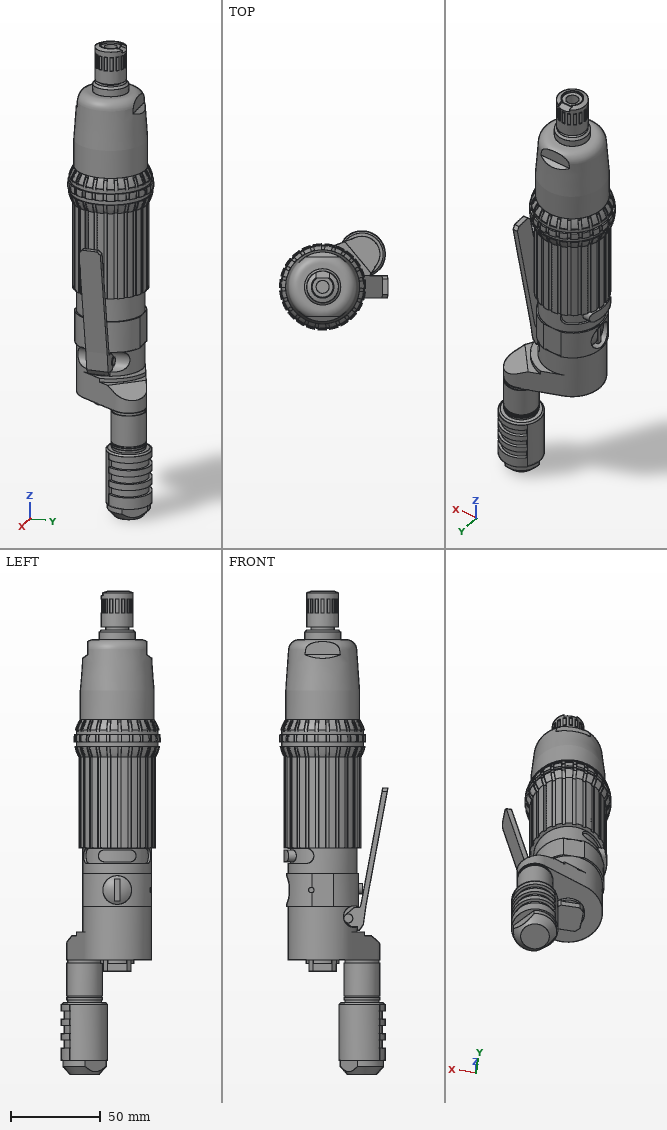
import cadquery as cq
import math


top_z = 269.2
connector_bottom_z = 249.1
collar_top_z = 247.6
shoulder_top_z = 242.2
shoulder_edge_z = 236.7
taper_bottom_z = 213.8
bulge_top_z = 197.6
grip_top_z = 176.9
grip_bottom_z = 126.2
ring_top_z = 112.0
ring_bottom_z = 93.6
arm_lip_z = 79.5
arm_top_z = 77.4
housing_bottom_z = 63.9
head_top_z = 40.1
bulge_mid_z = (bulge_top_z + grip_top_z) / 2

connector_radius = 8.9
connector_rim_radius = 6.3
connector_rim_drop = 1.0
neck_radius = 6.5
collar_radius = 10.1
collar_chamfer = 1.3
dome_flat_radius = 12.65
shoulder_radius = 19.0
cap_radius = 20.6
bulge_radius = 24.0
grip_radius = 21.4
housing_radius = 19.2
ring_radius = 20.1

socket_radius = 5.8
socket_depth = 1.0
bore_radius = 3.6
bore_depth = 10.0
knurl_count = 16
knurl_width = math.pi * connector_radius / knurl_count
knurl_depth = 0.5
knurl_bottom_z = 256.9
knurl_top_z = 264.9
key_notch_width = 7.4
key_notch_inner_y = 5.0
key_notch_depth = 1.5
key_notch_drop = 3.0

shoulder_flat_y = 16.5
shoulder_flat_bottom_z = 233.8
shoulder_flat_runout = 4.0
shoulder_flat_slope_drop = 2.9

groove_count = 23
groove_start_angle = 183.3
groove_width = 1.9
groove_depth = 0.7
band_groove_offset = 3.3
band_groove_width = 2.6
band_groove_depth = 0.6

exhaust_mid_z = 121.8
exhaust_height = 8.4
exhaust_depth = 1.2
exhaust_end_x = -4.9
exhaust_slider_length = 21.0
exhaust_slider_height = 6.6
exhaust_slider_radius = 21.6

ring_flat_y = housing_radius
ring_mid_z = (ring_top_z + ring_bottom_z) / 2
dial_radius = 8.0
dial_pocket_floor_x = -15.4
dial_dome_tip_x = -18.4
dial_bar_width = 2.9
dial_bar_length = 12.2
dial_bar_tip_x = -18.6
set_screw_x = -6.3
set_screw_radius = 1.5
set_screw_depth = 1.0

button_radius = 2.9
button_tip_x = 22.2
button_z = 103.6

output_angle = 39.7
output_offset = 28.45
arm_end_radius = 10.0
arm_lip_radius = 23.4
arm_slope_start = 25.6
arm_slope_angle = 25.0
shank_radius = 10.0
shank_band_radius = 9.5
shank_relief_height = 1.6
shank_band_height = 1.6
shank_groove_z = 42.9
shank_groove_width = 0.9
head_radius = 12.8
head_pad_radius = 13.05
head_pad_angle = 50.0
head_chamfer = 1.0
head_bottom_z = 8.0
nose_radius = 12.1
nose_cone_top_z = 4.6
nose_tip_radius = 8.0
nose_flat_distance = 9.5
head_groove_count = 3
head_groove_pitch = 8.1
head_groove_width = 4.4
head_groove_depth = 1.7
head_groove_first_z = 17.0

plug_flange_radius = 9.2
plug_flange_height = 2.0
plug_width = 15.4
plug_corner_chamfer = 2.35
plug_bottom_z = 57.5

lever_width = 12.6
lever_thickness_x = 3.0
lever_tip_x = 36.39
lever_tip_z = 159.6
lever_tip_corner = 2.0
lever_root_outer_x = 24.3
lever_root_top_z = 94.8
lever_ear_shoulder_x = 20.6
lever_ear_top_z = 93.1
lever_ear_bottom_z = 82.5
lever_heel_inner_x = 19.3
lever_heel_outer_x = 20.4
lever_heel_z = 80.3
lever_back_x = 22.7
lever_back_z = 83.5
pivot_x = 14.3
pivot_z = 87.0
pivot_radius = 2.5
pivot_head_height = 0.5
pin_radius = 1.5
web_width = 6.0
web_tip_x = 20.2
pocket_x = 17.6
pocket_z = 88.0
pocket_radius = 6.0

through = 4 * bulge_radius
clearance = 1.0

output_x = output_offset * math.cos(math.radians(output_angle))
output_y = output_offset * math.sin(math.radians(output_angle))


def disc(radius, bottom_z, top):
    """Upright cylinder between two levels."""
    return cq.Workplane("XY", origin=(0, 0, bottom_z)).circle(radius).extrude(top - bottom_z)


def tube(outer, inner, bottom_z, top):
    """Upright ring between two levels."""
    ring = cq.Workplane("XY", origin=(0, 0, bottom_z)).circle(outer).circle(inner)
    return ring.extrude(top - bottom_z)


def cylinder_along_y(radius, x, z, length):
    """Cylinder parallel to Y, centred on the XZ plane."""
    return cq.Workplane("XZ", origin=(x, length / 2, z)).circle(radius).extrude(length)


def output_plane(z):
    """Horizontal workplane whose local X points from the main axis to the output axis."""
    return cq.Workplane("XY", origin=(0, 0, z)).transformed(rotate=(0, 0, output_angle))


def turned_body():
    """Everything coaxial with the main axis, revolved from one half outline."""
    fillet_bow = 1 - math.sqrt(0.5)
    dome_mid_r = shoulder_radius - (shoulder_radius - dome_flat_radius) * fillet_bow
    dome_mid_z = shoulder_top_z - (shoulder_top_z - shoulder_edge_z) * fillet_bow
    profile = (
        cq.Workplane("XZ")
        .moveTo(0, top_z)
        .lineTo(connector_rim_radius, top_z)
        .lineTo(connector_radius, top_z - connector_rim_drop)
        .lineTo(connector_radius, connector_bottom_z)
        .lineTo(neck_radius, connector_bottom_z)
        .lineTo(neck_radius, collar_top_z)
        .lineTo(collar_radius - collar_chamfer, collar_top_z)
        .lineTo(collar_radius, collar_top_z - collar_chamfer)
        .lineTo(collar_radius, shoulder_top_z)
        .lineTo(dome_flat_radius, shoulder_top_z)
        .threePointArc((dome_mid_r, dome_mid_z), (shoulder_radius, shoulder_edge_z))
        .lineTo(cap_radius, taper_bottom_z)
        .lineTo(cap_radius, bulge_top_z)
        .threePointArc((bulge_radius, bulge_mid_z), (grip_radius, grip_top_z))
        .lineTo(grip_radius, grip_bottom_z)
        .lineTo(housing_radius, grip_bottom_z)
        .lineTo(housing_radius, ring_top_z)
        .lineTo(ring_radius, ring_top_z)
        .lineTo(ring_radius, ring_bottom_z)
        .lineTo(housing_radius, ring_bottom_z)
        .lineTo(housing_radius, housing_bottom_z)
        .lineTo(0, housing_bottom_z)
        .close()
    )
    return profile.revolve(360, (0, 0, 0), (0, 1, 0))


def cut_connector(body):
    """Air socket, knurled band and key notch of the hose connector."""
    body = body.cut(disc(socket_radius, top_z - socket_depth, top_z))
    body = body.cut(disc(bore_radius, top_z - bore_depth, top_z))
    knurl = (
        cq.Workplane("XY", origin=(0, 0, knurl_bottom_z))
        .polarArray(connector_radius, 0, 360, knurl_count)
        .rect(2 * knurl_depth, knurl_width)
        .extrude(knurl_top_z - knurl_bottom_z)
    )
    body = body.cut(knurl)
    notch = (
        cq.Workplane("YZ", origin=(-key_notch_width / 2, 0, 0))
        .moveTo(key_notch_inner_y, top_z)
        .lineTo(key_notch_inner_y, top_z - key_notch_depth)
        .lineTo(collar_radius, top_z - key_notch_drop)
        .lineTo(collar_radius, top_z)
        .close()
        .extrude(key_notch_width)
    )
    return body.cut(notch)


def cut_shoulder_flats(body):
    """Two opposite spanner flats on the domed shoulder, with sloping floors."""
    outer_y = shoulder_flat_y + shoulder_flat_runout
    flat = (
        cq.Workplane("YZ", origin=(-through / 2, 0, 0))
        .moveTo(shoulder_flat_y, shoulder_top_z)
        .lineTo(shoulder_flat_y, shoulder_flat_bottom_z)
        .lineTo(outer_y, shoulder_flat_bottom_z - shoulder_flat_slope_drop)
        .lineTo(outer_y, shoulder_top_z)
        .close()
        .extrude(through)
    )
    return body.cut(flat).cut(flat.mirror("XZ"))


def cut_grip_grooves(body):
    """Lengthwise grooves along grip and bulge, and two bands round the bulge."""
    grip_grooves = (
        cq.Workplane("XY", origin=(0, 0, grip_bottom_z))
        .polarArray(grip_radius, groove_start_angle, 360, groove_count)
        .rect(2 * groove_depth, groove_width)
        .extrude(grip_top_z - grip_bottom_z)
    )
    bulge_span = bulge_radius - grip_radius + groove_depth
    bulge_grooves = (
        cq.Workplane("XY", origin=(0, 0, grip_top_z))
        .polarArray(bulge_radius, groove_start_angle, 360, groove_count)
        .rect(2 * bulge_span, groove_width)
        .extrude(bulge_top_z - grip_top_z)
    )
    floor = (
        cq.Workplane("XZ")
        .moveTo(0, bulge_top_z)
        .lineTo(cap_radius - groove_depth, bulge_top_z)
        .threePointArc((bulge_radius - groove_depth, bulge_mid_z), (grip_radius - groove_depth, grip_top_z))
        .lineTo(0, grip_top_z)
        .close()
        .revolve(360, (0, 0, 0), (0, 1, 0))
    )
    body = body.cut(grip_grooves).cut(bulge_grooves.cut(floor))
    for side in (-1, 1):
        middle = bulge_mid_z + side * band_groove_offset
        low = middle - band_groove_width / 2
        floor_radius = bulge_radius - 2 * band_groove_depth
        body = body.cut(tube(bulge_radius + clearance, floor_radius, low, low + band_groove_width))
    return body


def add_exhaust(body):
    """Round-ended exhaust recess on the -X side, with a round-ended slider standing in it."""
    end_radius = exhaust_height / 2
    end_centre_x = exhaust_end_x - end_radius
    band = (
        cq.Workplane("XZ", origin=(0, through / 2, 0))
        .moveTo(-through / 2, exhaust_mid_z - end_radius)
        .lineTo(end_centre_x, exhaust_mid_z - end_radius)
        .threePointArc((exhaust_end_x, exhaust_mid_z), (end_centre_x, exhaust_mid_z + end_radius))
        .lineTo(-through / 2, exhaust_mid_z + end_radius)
        .close()
        .extrude(through)
    )
    low = exhaust_mid_z - end_radius
    core = disc(housing_radius - exhaust_depth, low, low + exhaust_height)
    slider = (
        cq.Workplane("YZ", origin=(0, 0, exhaust_mid_z))
        .slot2D(exhaust_slider_length, exhaust_slider_height)
        .extrude(-through)
        .intersect(disc(exhaust_slider_radius, low, low + exhaust_height))
    )
    return body.cut(band.cut(core)).union(slider)


def cut_reversing_ring(body):
    """Side flats, domed dial with its thumb bar, and a set screw recess."""
    ring_height = ring_top_z - ring_bottom_z
    for side in (-1, 1):
        slab = cq.Workplane("XY").box(through, ring_radius, ring_height)
        body = body.cut(slab.translate((0, side * (ring_flat_y + ring_radius / 2), ring_mid_z)))
    pocket_root = cq.Workplane("YZ", origin=(dial_pocket_floor_x, 0, ring_mid_z))
    body = body.cut(pocket_root.circle(dial_radius).extrude(-ring_radius))
    dome_height = dial_pocket_floor_x - dial_dome_tip_x
    sphere_radius = (dial_radius**2 + dome_height**2) / (2 * dome_height)
    sphere = cq.Workplane("XY").sphere(sphere_radius)
    sphere = sphere.translate((dial_dome_tip_x + sphere_radius, 0, ring_mid_z))
    root_x = dial_pocket_floor_x + dome_height
    dome_blank = cq.Workplane("YZ", origin=(root_x, 0, ring_mid_z)).circle(dial_radius)
    body = body.union(dome_blank.extrude(dial_dome_tip_x - root_x).intersect(sphere))
    bar_root = cq.Workplane("YZ", origin=(root_x, 0, ring_mid_z)).rect(dial_bar_width, dial_bar_length)
    body = body.union(bar_root.extrude(dial_bar_tip_x - root_x))
    screw = (
        cq.Workplane("XZ", origin=(set_screw_x, -ring_radius, ring_mid_z))
        .circle(set_screw_radius)
        .extrude(-(ring_radius - ring_flat_y + set_screw_depth))
    )
    return body.cut(screw)


def throttle_button():
    """Round button on the +X side, ending short of the lever."""
    root_x = housing_radius - button_radius
    button = cq.Workplane("YZ", origin=(root_x, 0, button_z)).circle(button_radius)
    return button.extrude(button_tip_x - root_x)


def output_arm():
    """Arm tangent to the housing and to the rounded end over the output axis."""
    tilt = math.asin((housing_radius - arm_end_radius) / output_offset)
    root = (housing_radius * math.sin(tilt), housing_radius * math.cos(tilt))
    tip = (output_offset + arm_end_radius * math.sin(tilt), arm_end_radius * math.cos(tilt))

    def prism(top):
        outline = (
            output_plane(housing_bottom_z)
            .moveTo(0, root[1])
            .lineTo(*root)
            .lineTo(*tip)
            .threePointArc((output_offset + arm_end_radius, 0), (tip[0], -tip[1]))
            .lineTo(root[0], -root[1])
            .lineTo(0, -root[1])
            .close()
        )
        return outline.extrude(top - housing_bottom_z)

    reach = output_offset + arm_end_radius + clearance
    slope_drop = (reach - arm_slope_start) * math.tan(math.radians(arm_slope_angle))
    slope = (
        cq.Workplane("XZ", origin=(0, through / 2, 0))
        .moveTo(arm_slope_start, arm_top_z)
        .lineTo(reach, arm_top_z - slope_drop)
        .lineTo(reach, arm_top_z)
        .close()
        .extrude(through)
        .rotate((0, 0, 0), (0, 0, 1), output_angle)
    )
    lip = prism(arm_lip_z).intersect(disc(arm_lip_radius, housing_bottom_z, arm_lip_z))
    return prism(arm_top_z).cut(slope).union(lip)


def output_head():
    """Shank and head turned on the output axis, ribbed on the outward half."""
    shank_relief_z = housing_bottom_z - shank_relief_height
    shank_band_z = head_top_z + shank_band_height
    shank_groove_top_z = shank_groove_z + shank_groove_width
    head = (
        cq.Workplane("XZ")
        .moveTo(0, housing_bottom_z)
        .lineTo(shank_band_radius, housing_bottom_z)
        .lineTo(shank_band_radius, shank_relief_z)
        .lineTo(shank_radius, shank_relief_z)
        .lineTo(shank_radius, shank_groove_top_z)
        .lineTo(shank_band_radius, shank_groove_top_z)
        .lineTo(shank_band_radius, shank_groove_z)
        .lineTo(shank_radius, shank_groove_z)
        .lineTo(shank_radius, shank_band_z)
        .lineTo(shank_band_radius, shank_band_z)
        .lineTo(shank_band_radius, head_top_z)
        .lineTo(head_radius - head_chamfer, head_top_z)
        .lineTo(head_radius, head_top_z - head_chamfer)
        .lineTo(head_radius, head_bottom_z)
        .lineTo(nose_radius, head_bottom_z)
        .lineTo(nose_radius, nose_cone_top_z)
        .lineTo(nose_tip_radius, 0)
        .lineTo(0, 0)
        .close()
        .revolve(360, (0, 0, 0), (0, 1, 0))
    )
    outward_half = cq.Workplane("XY").box(through, through, through).translate((through / 2, 0, 0))
    outward_half = outward_half.rotate((0, 0, 0), (0, 0, 1), head_pad_angle - output_angle)
    pad = tube(head_pad_radius, nose_radius, head_bottom_z, head_top_z - head_chamfer)
    for number in range(head_groove_count):
        low = head_groove_first_z + number * head_groove_pitch - head_groove_width / 2
        floor_radius = head_pad_radius - head_groove_depth
        groove = tube(head_pad_radius + clearance, floor_radius, low, low + head_groove_width)
        pad = pad.cut(groove)
        head = head.cut(groove.intersect(outward_half))
    head = head.union(pad.intersect(outward_half))
    for side in (-1, 1):
        slab = cq.Workplane("XY").box(head_radius, 2 * head_radius, head_bottom_z)
        slab_x = side * (nose_flat_distance + head_radius / 2)
        head = head.cut(slab.translate((slab_x, 0, head_bottom_z / 2)))
    return head.rotate((0, 0, 0), (0, 0, 1), output_angle).translate((output_x, output_y, 0))


def bottom_plug():
    """Round flange and chamfered square plug under the housing."""
    flange_bottom_z = housing_bottom_z - plug_flange_height
    flange = disc(plug_flange_radius, flange_bottom_z, housing_bottom_z)
    square = (
        cq.Workplane("XY", origin=(0, 0, plug_bottom_z))
        .rect(plug_width, plug_width)
        .extrude(housing_bottom_z - plug_bottom_z)
        .edges("|Z")
        .chamfer(plug_corner_chamfer)
    )
    return flange.union(square)


def lever_pockets():
    """Round side pockets for the lever ears; they leave a drilled web between them."""
    pockets = cylinder_along_y(pocket_radius, pocket_x, pocket_z, through)
    web = cylinder_along_y(pocket_radius + clearance, pocket_x, pocket_z, web_width)
    return pockets.cut(web).union(cylinder_along_y(pin_radius, pivot_x, pivot_z, web_width))


def make_tool():
    """Whole tool body without the lever."""
    body = turned_body()
    body = cut_connector(body)
    body = cut_shoulder_flats(body)
    body = cut_grip_grooves(body)
    body = add_exhaust(body)
    body = cut_reversing_ring(body)
    body = body.union(throttle_button()).union(output_arm()).union(output_head())
    return body.union(bottom_plug()).cut(lever_pockets())


def make_lever():
    """Slanting blade whose forked root straddles the web, with the pivot pin fixed in it."""
    ear_reach = pivot_radius * math.sqrt(0.5)
    outline = [
        (lever_tip_x, lever_tip_z),
        (lever_tip_x - lever_thickness_x, lever_tip_z),
        (lever_root_outer_x - lever_thickness_x, lever_root_top_z),
        (lever_ear_shoulder_x, lever_ear_top_z),
        (pocket_x, lever_ear_top_z),
        (pivot_x - ear_reach, pivot_z + ear_reach),
        (pivot_x - ear_reach, pivot_z - ear_reach),
        (pocket_x - ear_reach, lever_ear_bottom_z),
        (lever_heel_inner_x, lever_ear_bottom_z),
        (lever_heel_inner_x, lever_heel_z),
        (lever_heel_outer_x, lever_heel_z),
        (lever_back_x, lever_back_z),
        (lever_root_outer_x, lever_root_top_z),
    ]
    plane = cq.Workplane("XZ", origin=(0, lever_width / 2, 0))
    blade = plane.polyline(outline).close().extrude(lever_width)
    tip_edges = cq.selectors.BoxSelector(
        (0, -lever_width, lever_tip_z - clearance), (through, lever_width, lever_tip_z + clearance)
    )
    blade = blade.edges("|X").edges(tip_edges).chamfer(lever_tip_corner)
    pivot_length = lever_width + 2 * pivot_head_height
    lever = blade.union(cylinder_along_y(pivot_radius, pivot_x, pivot_z, pivot_length))
    fork_gap = cq.Workplane("XY").box(web_tip_x, web_width, lever_root_top_z)
    lever = lever.cut(fork_gap.translate((web_tip_x / 2, 0, lever_root_top_z / 2)))
    return lever.union(cylinder_along_y(pin_radius, pivot_x, pivot_z, web_width))


tool = make_tool()
lever = make_lever()
result = cq.Compound.makeCompound([tool.solids().val(), lever.solids().val()])